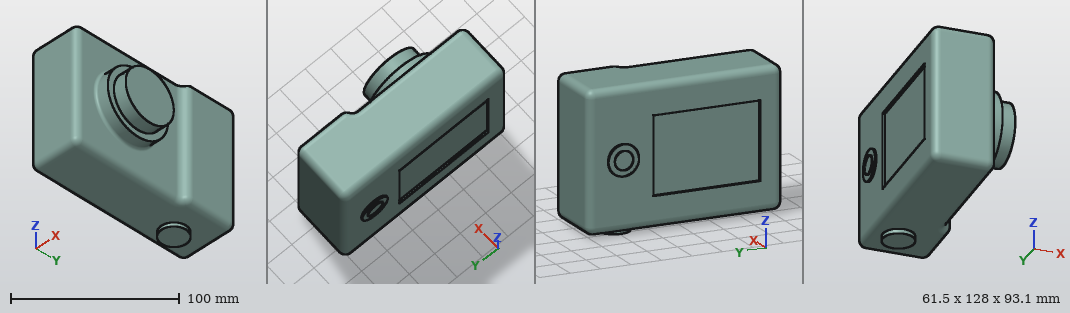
import cadquery as cq
import math

length = 128.0
height = 90.0
body_depth = 40.0
edge_radius = 5.0
grip_depth = body_depth + edge_radius
grip_length = 45.0
mid_height = height / 2

lens_y = 41.0
lens_base_diameter = 50.0
lens_barrel_diameter = 40.0
lens_tier_length = 10.0
lens_base_fillet = 2.0

button_y = length - 23.0
button_diameter = 20.0
button_cap_diameter = 12.0
button_rim_height = 1.0
button_cap_height = 0.5

screen_width = 70.0
screen_height = 50.0
screen_margin = 15.0
screen_recess = 1.5

foot_x = 17.0
foot_y = length - 25.0
foot_diameter = 20.0
foot_height = 3.1


def disc_along_x(start_x, center_y, diameter, thickness):
    """Disc with its axis along X; a negative thickness grows toward -X."""
    return (
        cq.Workplane("YZ", origin=(start_x, center_y, mid_height))
        .circle(diameter / 2)
        .extrude(thickness)
    )


def make_body():
    """Rounded block with a grip, whose foot sweeps into the lens face."""
    grip_foot = length - grip_length
    arc_offset = edge_radius * math.sin(math.radians(45))
    outline = (
        cq.Workplane("XY")
        .moveTo(0, 0)
        .lineTo(body_depth, 0)
        .lineTo(body_depth, grip_foot)
        .threePointArc(
            (grip_depth - arc_offset, grip_foot + arc_offset),
            (grip_depth, grip_foot + edge_radius),
        )
        .lineTo(grip_depth, length)
        .lineTo(0, length)
        .close()
    )
    return outline.extrude(height).edges().fillet(edge_radius)


def add_lens(body):
    """Two stepped cylinders, with a fillet where the wider one meets the body."""
    base_end = body_depth + lens_tier_length
    base = disc_along_x(body_depth, lens_y, lens_base_diameter, lens_tier_length)
    barrel = disc_along_x(base_end, lens_y, lens_barrel_diameter, lens_tier_length)
    base_radius = lens_base_diameter / 2
    reach = base_radius + 1.3
    slack = 0.1
    joint = cq.selectors.BoxSelector(
        (body_depth - slack, lens_y - reach, mid_height - reach),
        (body_depth + slack, lens_y + reach, mid_height + reach),
        boundingbox=True,
    )
    return body.union(base).edges(joint).fillet(lens_base_fillet).union(barrel)


def add_button(body):
    rim = disc_along_x(0, button_y, button_diameter, -button_rim_height)
    cap = disc_along_x(-button_rim_height, button_y, button_cap_diameter, -button_cap_height)
    return body.union(rim).union(cap)


def cut_screen(body):
    recess = (
        cq.Workplane("XY", origin=(0, screen_margin, mid_height))
        .box(screen_recess, screen_width, screen_height, centered=(False, False, True))
    )
    return body.cut(recess)


def add_foot(body):
    foot = (
        cq.Workplane("XY", origin=(foot_x, foot_y, 0))
        .circle(foot_diameter / 2)
        .extrude(-foot_height)
    )
    return body.union(foot)


result = add_foot(cut_screen(add_button(add_lens(make_body()))))